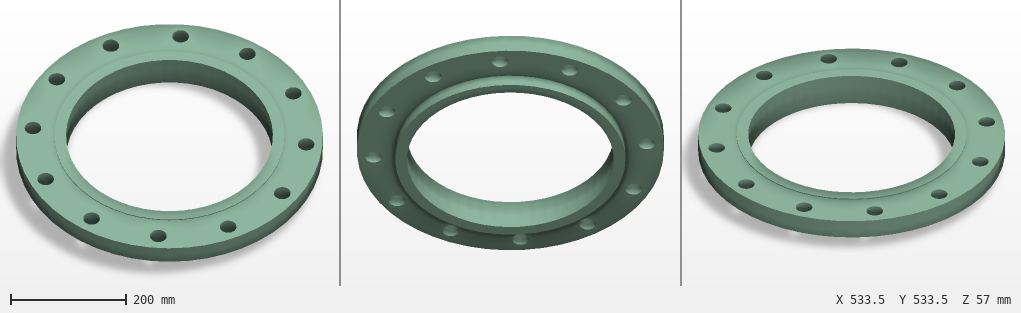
import cadquery as cq

flange_diameter = 533.5
hub_diameter = 400.0
bore_diameter = 359.5
total_height = 57.0
hub_height = 21.5
raised_face_height = 1.5
flange_thickness = total_height - hub_height - raised_face_height

bolt_count = 12
bolt_circle_diameter = 476.5
bolt_hole_diameter = 29.0
bolt_spacing_angle = 360 / bolt_count


def disc(diameter, height, base_z):
    """Solid disc about the Z axis, rising from base_z."""
    return cq.Workplane("XY").workplane(offset=base_z).circle(diameter / 2).extrude(height)


hub = disc(hub_diameter, total_height, 0)
flange = disc(flange_diameter, flange_thickness, hub_height)
bore = disc(bore_diameter, total_height, 0)

bolt_holes = (
    cq.Workplane("XY")
    .polarArray(bolt_circle_diameter / 2, bolt_spacing_angle / 2, 360, bolt_count)
    .circle(bolt_hole_diameter / 2)
    .extrude(total_height)
)

result = flange.union(hub).cut(bore).cut(bolt_holes)